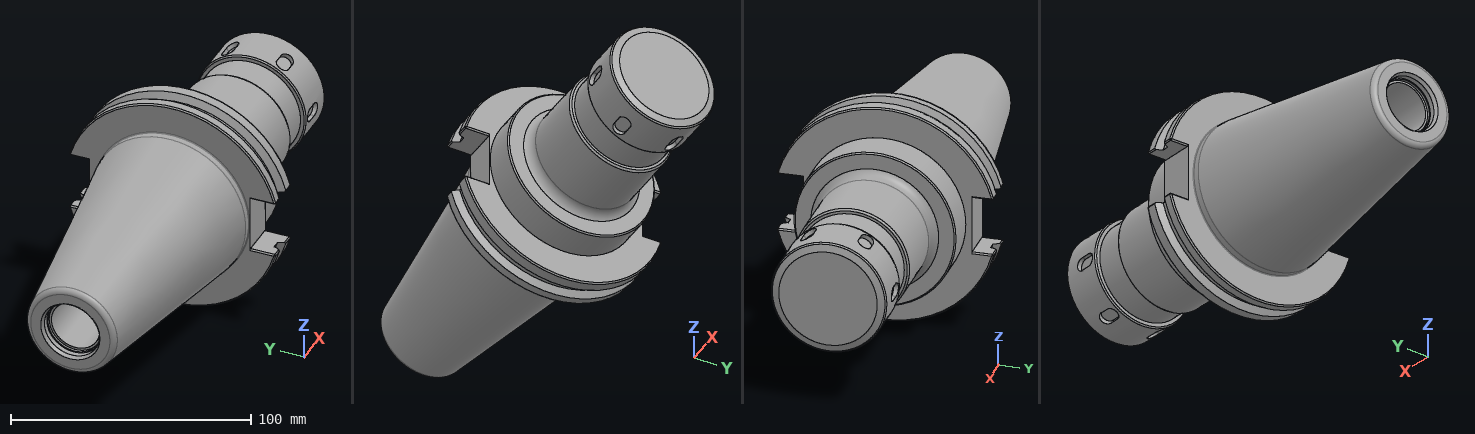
import cadquery as cq
import math

TOTAL_LENGTH = 206.8
TAPER_START = -TOTAL_LENGTH / 2
NUT_END = TOTAL_LENGTH / 2
TAPER_LENGTH = 101.5
FLANGE_OFFSET = 104.8
FLANGE_WIDTH = 16.3
SHOULDER_OFFSET = 136.5
NECK_OFFSET = 171.0
NUT_LENGTH = 21.0
NUT_FRONT_WALL = 2.0

FLANGE_START = TAPER_START + FLANGE_OFFSET
FLANGE_END = FLANGE_START + FLANGE_WIDTH
SHOULDER_END = TAPER_START + SHOULDER_OFFSET
NECK_END = TAPER_START + NECK_OFFSET
NUT_START = NUT_END - NUT_LENGTH
NOSE_END = NUT_END - NUT_FRONT_WALL

GAUGE_DIAMETER = 69.9
TAPER_RATIO = 7 / 24
TAPER_END_DIAMETER = GAUGE_DIAMETER - TAPER_RATIO * TAPER_LENGTH
TAPER_END_FILLET = 2.5
COLLAR_FILLET = 0.3

FLANGE_DIAMETER = 97.4
FLANGE_CHAMFER = 0.6
GROOVE_CENTER = FLANGE_START + 7.7
GROOVE_DEPTH = 3.0
GROOVE_FLOOR_WIDTH = 3.0
GROOVE_FLANK_ANGLE = 30.0
DRIVE_SLOT_WIDTH = 25.0
NEAR_SLOT_FLOOR = 35.4
FAR_SLOT_FLOOR = 37.6

SHOULDER_DIAMETER = 70.0
SHOULDER_CHAMFER = 0.6
NECK_DIAMETER = 49.6
NECK_CHAMFER = 0.8
NECK_COVE_RADIUS = 5.8
NECK_COVE_HEIGHT = 2.9
NOSE_DIAMETER = 45.5

MOUTH_DIAMETER = 26.9
MOUTH_CHAMFER_LENGTH = 1.7
COUNTERBORE_DIAMETER = 25.0
COUNTERBORE_DEPTH = 4.1
STEP_DIAMETER = 24.0
STEP_DEPTH = 5.4
BORE_DIAMETER = 22.0
BORE_DEPTH = 41.4
FLOOR_CONE_ANGLE = 120.0

NUT_DIAMETER = 50.0
NUT_REAR_CHAMFER = 0.6
NUT_FACE_DIAMETER = 42.5
NUT_FACE_CONE_LENGTH = 1.0
NUT_FRONT_CHAMFER = 0.6
WRENCH_SLOT_COUNT = 6
WRENCH_SLOT_LENGTH = 10.3
WRENCH_SLOT_WIDTH = 6.0
WRENCH_SLOT_DEPTH = 2.0
WRENCH_SLOT_OFFSET = 7.2


def revolve_about_x(profile):
    """Turn a closed half profile in the XY plane about the X axis."""
    return profile.close().revolve(360, (0, 0, 0), (1, 0, 0))


def holder_core():
    """Taper, collar, shoulder, neck and nose as one turned shape, without the flange."""
    shoulder_radius = SHOULDER_DIAMETER / 2
    neck_radius = NECK_DIAMETER / 2
    cove_top = neck_radius + NECK_COVE_HEIGHT
    cove_length = math.sqrt(NECK_COVE_RADIUS**2 - (NECK_COVE_RADIUS - NECK_COVE_HEIGHT) ** 2)
    profile = (
        cq.Workplane("XY")
        .moveTo(TAPER_START, 0)
        .lineTo(TAPER_START, TAPER_END_DIAMETER / 2)
        .lineTo(TAPER_START + TAPER_LENGTH, GAUGE_DIAMETER / 2)
        .lineTo(FLANGE_START - COLLAR_FILLET, GAUGE_DIAMETER / 2)
        .radiusArc((FLANGE_START, GAUGE_DIAMETER / 2 + COLLAR_FILLET), -COLLAR_FILLET)
        .lineTo(FLANGE_START, shoulder_radius)
        .lineTo(SHOULDER_END - SHOULDER_CHAMFER, shoulder_radius)
        .lineTo(SHOULDER_END, shoulder_radius - SHOULDER_CHAMFER)
        .lineTo(SHOULDER_END, cove_top)
        .radiusArc((SHOULDER_END + cove_length, neck_radius), -NECK_COVE_RADIUS)
        .lineTo(NECK_END - NECK_CHAMFER, neck_radius)
        .lineTo(NECK_END, neck_radius - NECK_CHAMFER)
        .lineTo(NECK_END, NOSE_DIAMETER / 2)
        .lineTo(NOSE_END, NOSE_DIAMETER / 2)
        .lineTo(NOSE_END, 0)
    )
    return revolve_about_x(profile).faces("<X").edges().fillet(TAPER_END_FILLET)


def flange_groove():
    """V-groove ring around the flange."""
    rim = FLANGE_DIAMETER / 2
    floor = rim - GROOVE_DEPTH
    half_floor = GROOVE_FLOOR_WIDTH / 2
    half_mouth = half_floor + GROOVE_DEPTH * math.tan(math.radians(GROOVE_FLANK_ANGLE))
    profile = (
        cq.Workplane("XY")
        .moveTo(GROOVE_CENTER - half_mouth, rim)
        .lineTo(GROOVE_CENTER - half_floor, floor)
        .lineTo(GROOVE_CENTER + half_floor, floor)
        .lineTo(GROOVE_CENTER + half_mouth, rim)
    )
    return revolve_about_x(profile)


def drive_slot(side, floor):
    """Block that cuts one drive slot; side is -1 or 1 along Y."""
    depth = FLANGE_DIAMETER / 2 - floor
    return (
        cq.Workplane("XY")
        .box(FLANGE_WIDTH, depth, DRIVE_SLOT_WIDTH)
        .translate(((FLANGE_START + FLANGE_END) / 2, side * (floor + depth / 2), 0))
    )


def flange():
    """Flange disc with drive slots, broken land edges and a V-groove."""
    disc = (
        cq.Workplane("YZ", origin=(FLANGE_START, 0, 0))
        .circle(FLANGE_DIAMETER / 2)
        .extrude(FLANGE_WIDTH)
        .cut(drive_slot(-1, NEAR_SLOT_FLOOR))
        .cut(drive_slot(1, FAR_SLOT_FLOOR))
    )
    land_edges = disc.edges("|Y or %CIRCLE or >Y or <Y")
    return land_edges.chamfer(FLANGE_CHAMFER).cut(flange_groove())


def taper_bore():
    """Stepped blind bore whose floor is a cone that points back at the mouth."""
    bore_radius = BORE_DIAMETER / 2
    cone_height = bore_radius / math.tan(math.radians(FLOOR_CONE_ANGLE / 2))
    bore_end = TAPER_START + BORE_DEPTH
    profile = (
        cq.Workplane("XY")
        .moveTo(TAPER_START, 0)
        .lineTo(TAPER_START, MOUTH_DIAMETER / 2)
        .lineTo(TAPER_START + MOUTH_CHAMFER_LENGTH, COUNTERBORE_DIAMETER / 2)
        .lineTo(TAPER_START + COUNTERBORE_DEPTH, COUNTERBORE_DIAMETER / 2)
        .lineTo(TAPER_START + COUNTERBORE_DEPTH, STEP_DIAMETER / 2)
        .lineTo(TAPER_START + STEP_DEPTH, STEP_DIAMETER / 2)
        .lineTo(TAPER_START + STEP_DEPTH, bore_radius)
        .lineTo(bore_end, bore_radius)
        .lineTo(bore_end - cone_height, 0)
    )
    return revolve_about_x(profile)


def make_holder():
    """Tool holder: turned core with its flange, bored from the small end."""
    return holder_core().union(flange()).cut(taper_bore())


def wrench_slot(angle):
    """Rounded-end slot cutter, turned about X to the given angle."""
    floor = NUT_DIAMETER / 2 - WRENCH_SLOT_DEPTH
    return (
        cq.Workplane("XY", origin=(NUT_START + WRENCH_SLOT_OFFSET, 0, floor))
        .slot2D(WRENCH_SLOT_LENGTH, WRENCH_SLOT_WIDTH)
        .extrude(2 * WRENCH_SLOT_DEPTH)
        .rotate((0, 0, 0), (1, 0, 0), angle)
    )


def make_nut():
    """Cap nut with a round socket for the nose and wrench slots around its rim."""
    outer_radius = NUT_DIAMETER / 2
    nose_radius = NOSE_DIAMETER / 2
    face_cone_start = NUT_END - NUT_FACE_CONE_LENGTH
    profile = (
        cq.Workplane("XY")
        .moveTo(NUT_START, nose_radius)
        .lineTo(NUT_START, outer_radius - NUT_REAR_CHAMFER)
        .lineTo(NUT_START + NUT_REAR_CHAMFER, outer_radius)
        .lineTo(face_cone_start - NUT_FRONT_CHAMFER, outer_radius)
        .lineTo(face_cone_start, outer_radius - NUT_FRONT_CHAMFER)
        .lineTo(NUT_END, NUT_FACE_DIAMETER / 2)
        .lineTo(NUT_END, 0)
        .lineTo(NOSE_END, 0)
        .lineTo(NOSE_END, nose_radius)
    )
    nut = revolve_about_x(profile)
    for index in range(WRENCH_SLOT_COUNT):
        nut = nut.cut(wrench_slot(90 + index * 360 / WRENCH_SLOT_COUNT))
    return nut


holder = make_holder()
nut = make_nut()
result = cq.Compound.makeCompound([holder.val(), nut.val()])